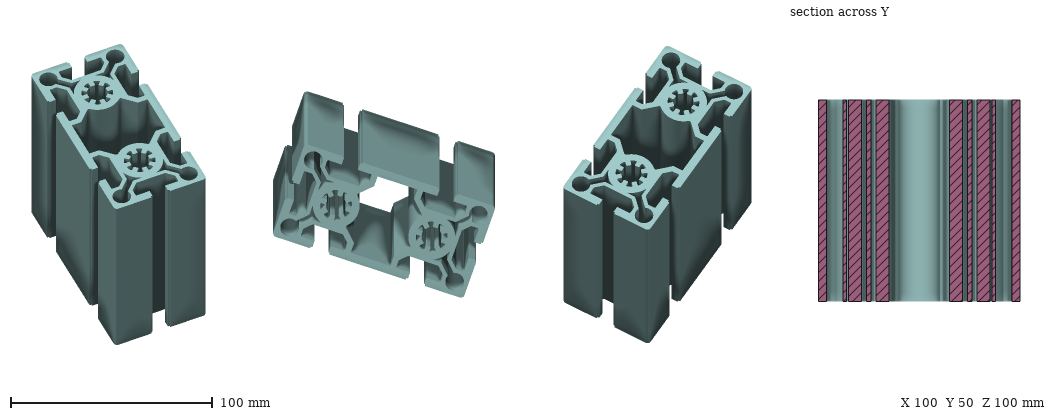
import cadquery as cq
import math

cell = 50.0
length = 100.0
width = 2 * cell
half_cell = cell / 2
corner_radius = 1.9

slot_half_opening = 4.2
lip_thickness = 4.3
step_size = 0.9
slot_half_width = 11.6
slot_depth = 12.0
slot_chamfer = 3.7
slot_fillet = 0.5
slot_floor = half_cell - slot_depth

ring_radius = 11.6
bore_radius = 7.9
tooth_tip_radius = 5.0
tooth_width = 2.6
tooth_count = 8
tooth_fillet = 0.5

corner_wall = 2.0
web_wall = 3.0
channel_tip_fillet = 0.1
cavity_fillet = 1.0

corner_hole_radius = 4.6
corner_hole_offset = slot_half_width + corner_wall + corner_hole_radius

slot_slant = slot_floor - (slot_half_width - slot_chamfer)
channel_slant = slot_slant - corner_wall * math.sqrt(2)
cavity_slant = slot_slant - web_wall * math.sqrt(2)


def prism(points):
    """Full-length prism with a closed straight-sided outline."""
    return cq.Workplane("XY").polyline(points).close().extrude(length)


def cylinder(radius, x=0, y=0):
    """Full-length cylinder with its axis at (x, y)."""
    return cq.Workplane("XY").center(x, y).circle(radius).extrude(length)


def turned(shape, angle):
    """Shape rotated about the Z axis."""
    return shape.rotate((0, 0, 0), (0, 0, 1), angle)


def slot():
    """T-slot opening towards +Y, for a cell centred on the origin."""
    lip_underside = half_cell - lip_thickness
    half_outline = [
        (slot_half_opening + step_size, half_cell),
        (slot_half_opening + step_size, half_cell - step_size),
        (slot_half_opening, half_cell - step_size),
        (slot_half_opening, lip_underside),
        (slot_half_width, lip_underside),
        (slot_half_width, slot_floor + slot_chamfer),
        (slot_half_width - slot_chamfer, slot_floor),
    ]
    mirrored = [(-x, y) for x, y in reversed(half_outline)]
    return prism(half_outline + mirrored).edges("|Z and (>X or <X)").fillet(slot_fillet)


def bore():
    """Toothed bore along the axis of a cell."""
    tooth_length = bore_radius
    tooth = (
        cq.Workplane("XY")
        .center(tooth_tip_radius + tooth_length / 2, 0)
        .rect(tooth_length, tooth_width)
        .extrude(length)
    )
    hollow = cylinder(bore_radius)
    for index in range(tooth_count):
        hollow = hollow.cut(turned(tooth, index * 360 / tooth_count))
    return hollow.edges("|Z").fillet(tooth_fillet)


def corner_hollow():
    """Round hole in the (+X, +Y) corner and the channel that leads from it to the ring."""
    near = slot_floor - corner_wall
    far = corner_hole_offset
    channel = prism(
        [
            (0, 0),
            (0, near),
            (near - channel_slant, near),
            (far, far + channel_slant),
            (far + channel_slant, far),
            (near, near - channel_slant),
            (near, 0),
        ]
    )
    hole = cylinder(corner_hole_radius, far, far)
    channel = channel.cut(cylinder(ring_radius))
    channel = channel.edges("|Z and (<X or <Y)").fillet(channel_tip_fillet)
    return channel.union(hole)


def central_cavity():
    """Hollow between the two rings, bounded by the slot webs."""
    side = half_cell - slot_half_width - web_wall
    top = half_cell - lip_thickness
    shoulder = slot_half_width + web_wall + cavity_slant
    apex_x = half_cell + cavity_slant
    cavity = prism(
        [
            (side, top),
            (side, shoulder),
            (apex_x, 0),
            (side, -shoulder),
            (side, -top),
            (-side, -top),
            (-side, -shoulder),
            (-apex_x, 0),
            (-side, shoulder),
            (-side, top),
        ]
    )
    for x in (-half_cell, half_cell):
        cavity = cavity.cut(cylinder(ring_radius, x))
    return cavity.edges("|Z and (>X or <X)").fillet(cavity_fillet)


def cell_hollows():
    """All hollows of the +X cell, centred on the origin."""
    hollows = bore()
    for angle in (0, 180, -90):
        hollows = hollows.union(turned(slot(), angle))
    for angle in (0, -90):
        hollows = hollows.union(turned(corner_hollow(), angle))
    return hollows


body = cq.Workplane("XY").rect(width, cell).extrude(length).edges("|Z").fillet(corner_radius)
right_hollows = cell_hollows().translate((half_cell, 0, 0))
left_hollows = right_hollows.mirror("YZ")
result = body.cut(right_hollows).cut(left_hollows).cut(central_cavity())